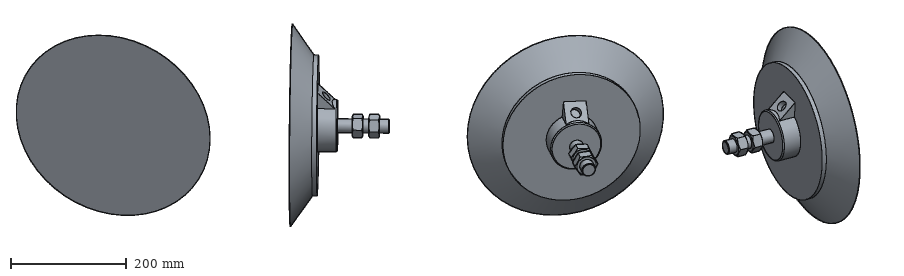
import cadquery as cq
import math

cup_diameter = 348.5
lip_thickness = 1.0
plate_diameter = 244.0
plate_bottom = 38.0
plate_top = 46.0

hub_diameter = 90.5
hub_top = 80.2
hub_chamfer = 2.0
rod_diameter = 24.5
rod_top = 169.5
rod_chamfer = 1.5

nut_across_flats = 36.0
nut_height = 19.0
nut_end_diameter = 34.0
nut_chamfer_angle = 30.0
lower_nut_base = 105.3
lower_nut_turn = 7.0
upper_nut_base = 134.0
upper_nut_turn = -2.0

port_width = 40.5
port_reach = 70.0
port_turn = 4.5
port_hole_diameter = 18.5
port_hole_depth = 11.5
port_hole_height = 14.5


def cylinder(diameter, base, top):
    """Cylinder on the Y axis between two heights."""
    return cq.Workplane("XZ", origin=(0, base, 0)).circle(diameter / 2).extrude(base - top)


def turn_about_axis(body, angle):
    """Turn a body about the Y axis; positive angles go from +X towards +Z."""
    return body.rotate((0, 0, 0), (0, -1, 0), angle)


def make_cup():
    profile = [
        (0, 0),
        (cup_diameter / 2, 0),
        (cup_diameter / 2, lip_thickness),
        (plate_diameter / 2, plate_bottom),
        (plate_diameter / 2, plate_top),
        (0, plate_top),
    ]
    return cq.Workplane("XY").polyline(profile).close().revolve(360, (0, 0, 0), (0, 1, 0))


def make_nut(base, turn):
    """Hexagonal nut whose corners are trimmed by a cone at both ends."""
    top = base + nut_height
    across_corners = nut_across_flats / math.cos(math.pi / 6)
    corner_radius = across_corners / 2
    end_radius = nut_end_diameter / 2
    corner_drop = (corner_radius - end_radius) * math.tan(math.radians(nut_chamfer_angle))
    hexagon = (
        cq.Workplane("XZ", origin=(0, base, 0))
        .polygon(6, across_corners)
        .extrude(-nut_height)
    )
    envelope_profile = [
        (0, base),
        (end_radius, base),
        (corner_radius, base + corner_drop),
        (corner_radius, top - corner_drop),
        (end_radius, top),
        (0, top),
    ]
    envelope = (
        cq.Workplane("XY").polyline(envelope_profile).close().revolve(360, (0, 0, 0), (0, 1, 0))
    )
    return turn_about_axis(hexagon.intersect(envelope), turn)


def make_port_block():
    """Triangular block rising at 45 degrees from the plate towards the rod axis."""
    tip_height = hub_top - hub_chamfer
    tip_reach = port_reach - (tip_height - plate_top)
    profile = [
        (plate_top, 0),
        (plate_top, port_reach),
        (tip_height, tip_reach),
        (tip_height, 0),
    ]
    block = cq.Workplane("YZ").polyline(profile).close().extrude(port_width / 2, both=True)
    return turn_about_axis(block, port_turn)


def make_port_hole():
    mouth = cq.Vector(0, plate_top + port_hole_height, port_reach - port_hole_height)
    hole = cq.Workplane(
        cq.Solid.makeCylinder(
            port_hole_diameter / 2, 2 * port_hole_depth, mouth, cq.Vector(0, -1, -1)
        )
    )
    outward_shift = port_hole_depth * math.sqrt(0.5)
    hole = hole.translate((0, outward_shift, outward_shift))
    return turn_about_axis(hole, port_turn)


hub = cylinder(hub_diameter, plate_top, hub_top).faces(">Y").chamfer(hub_chamfer)
rod = cylinder(rod_diameter, hub_top, rod_top).faces(">Y").chamfer(rod_chamfer)

result = (
    make_cup()
    .union(hub)
    .union(make_port_block())
    .cut(make_port_hole())
    .union(rod)
    .union(make_nut(lower_nut_base, lower_nut_turn))
    .union(make_nut(upper_nut_base, upper_nut_turn))
)